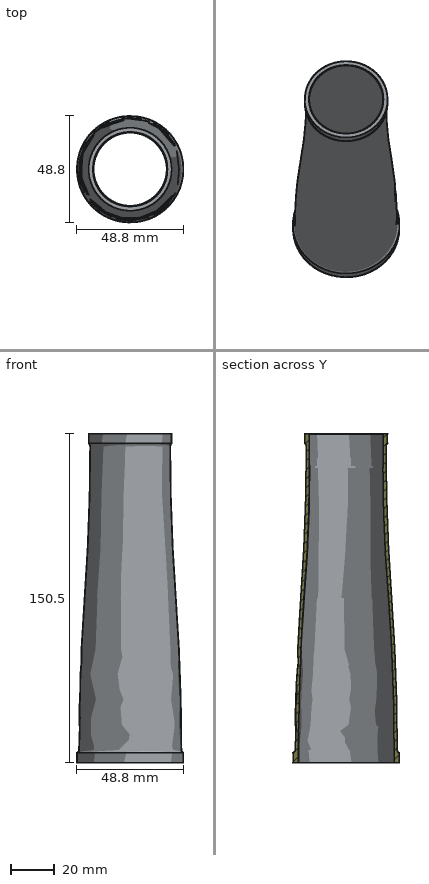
import cadquery as cq
import math

height = 150.5
wall = 1.7

collar_height = 4.5
collar_bevel = 0.3
fillet_height = 1.0
base_collar_radius = 24.4
top_collar_radius = 19.0

base_radius = 23.5
neck_radius = 18.4
middle_z = height / 2
fillet_start_z = collar_height + collar_bevel
body_bottom_z = fillet_start_z + fillet_height
body_top_z = height - body_bottom_z

socket_radius = 16.9
mouth_bevel = 0.23
straight_depth = 11.1
taper_depth = 14.9
taper_radius = 16.78
throat_depth = 15.8
throat_radius = neck_radius - wall


def arc_midpoint(vertical_end, other_end):
    """Middle of an arc that is parallel to the axis at vertical_end and runs to other_end."""
    run = other_end[0] - vertical_end[0]
    rise = other_end[1] - vertical_end[1]
    half_angle = math.atan2(abs(run), abs(rise))
    arc_radius = math.hypot(run, rise) / (2 * math.sin(half_angle))
    middle_run = math.copysign(arc_radius * (1 - math.cos(half_angle)), run)
    middle_rise = math.copysign(arc_radius * math.sin(half_angle), rise)
    return (vertical_end[0] + middle_run, vertical_end[1] + middle_rise)


def revolve_profile(profile):
    """Close a half profile along the axis and turn it into a solid around Z."""
    return profile.lineTo(0, height).close().revolve(360, (0, 0, 0), (0, 1, 0))


def add_s_curve(profile, bottom, top):
    """Continue a profile up the body with two arcs meeting at mid height."""
    middle = ((bottom[0] + top[0]) / 2, middle_z)
    profile = profile.threePointArc(arc_midpoint(bottom, middle), middle)
    return profile.threePointArc(arc_midpoint(top, middle), top)


def outer_body():
    """Solid outer shape with both collars."""
    base_corner = (base_collar_radius - collar_bevel, fillet_start_z)
    base_end = (base_radius, body_bottom_z)
    top_corner = (top_collar_radius - collar_bevel, height - fillet_start_z)
    top_end = (neck_radius, body_top_z)
    profile = (
        cq.Workplane("XZ")
        .lineTo(base_collar_radius, 0)
        .lineTo(base_collar_radius, collar_height)
        .lineTo(*base_corner)
        .threePointArc(arc_midpoint(base_end, base_corner), base_end)
    )
    profile = (
        add_s_curve(profile, base_end, top_end)
        .threePointArc(arc_midpoint(top_end, top_corner), top_corner)
        .lineTo(top_collar_radius, height - collar_height)
        .lineTo(top_collar_radius, height)
    )
    return revolve_profile(profile)


def bore():
    """Through cavity that follows the body and ends in the socket."""
    bottom = (base_radius - wall, body_bottom_z)
    throat = (throat_radius, height - throat_depth)
    profile = cq.Workplane("XZ").lineTo(bottom[0], 0).lineTo(*bottom)
    profile = (
        add_s_curve(profile, bottom, throat)
        .lineTo(taper_radius, height - taper_depth)
        .lineTo(socket_radius, height - straight_depth)
        .lineTo(socket_radius, height - mouth_bevel)
        .lineTo(socket_radius + mouth_bevel, height)
    )
    return revolve_profile(profile)


result = outer_body().cut(bore())